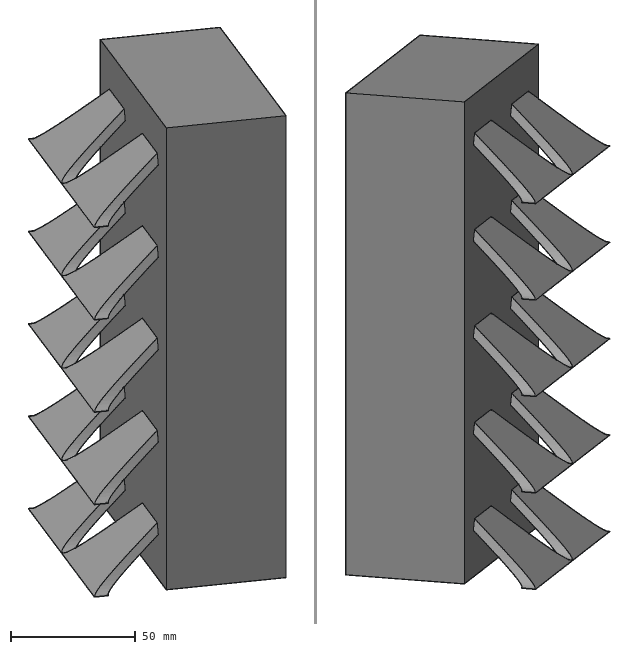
import cadquery as cq
import math

width = 100.0
depth = 50.0
height = 200.0

row_count = 5
row_pitch = height / row_count
reach = 30.0
rise = 23.8
level_thickness = 5.5

blades_per_row = 2
blade_width = width / blades_per_row
root_width = 22.5
lip_height = 0.2
flank_run = (blade_width - root_width) / 2
flank_rise = rise - lip_height
facet_width = 1.02
full_facets = math.floor(flank_run / facet_width)


def flank_point(run):
    """Distance in from the blade side and height above the tip on the flared flank."""
    flare = 1 - math.cos(run / flank_run * math.pi / 2)
    return run, lip_height + flank_rise * flare


def blade(left):
    """Prism along Y: wide at the tip, with quarter-cosine flanks up to the root."""
    flank = [flank_point(step * facet_width) for step in range(full_facets + 1)]
    flank.append(flank_point(flank_run))
    left_flank = [(left + run, z) for run, z in flank]
    right_flank = [(left + blade_width - run, z) for run, z in reversed(flank)]
    tip_corners = [(left + blade_width, 0), (left, 0)]
    return (
        cq.Workplane("XZ", origin=(0, -reach, 0))
        .polyline(left_flank + right_flank + tip_corners)
        .close()
        .extrude(-(reach + level_thickness))
    )


def louver_row():
    """One row of blades, cut from a sloping plate with level top and bottom edges."""
    plate = (
        cq.Workplane("YZ", origin=(-width / 2, 0, 0))
        .polyline([
            (-reach, 0),
            (0, rise),
            (level_thickness, rise),
            (level_thickness - reach, 0),
        ])
        .close()
        .extrude(width)
    )
    blades = blade(-width / 2)
    for index in range(1, blades_per_row):
        blades = blades.union(blade(-width / 2 + index * blade_width))
    return plate.intersect(blades)


result = cq.Workplane("XY").box(width, depth, height, centered=(True, False, False))
row = louver_row()
for index in range(row_count):
    result = result.union(row.translate((0, 0, index * row_pitch)))